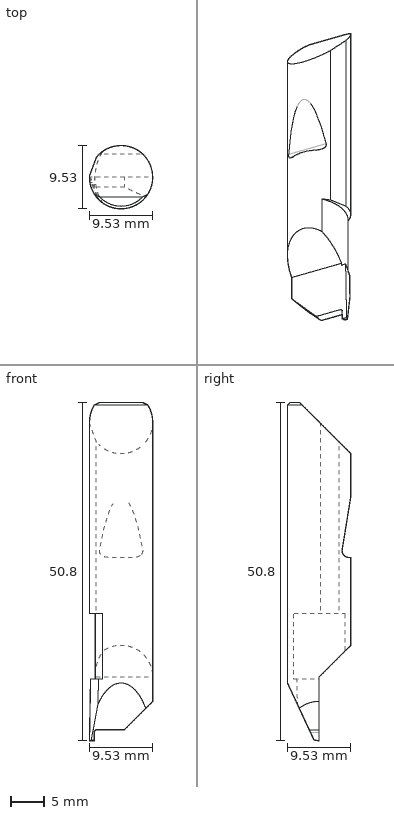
import cadquery as cq
import math

length = 50.8
diameter = 9.525
radius = diameter / 2
margin = 5.0
reach = radius + margin

end_chamfer = 0.4
end_slope_start = 43.1

flat_direction = 159.5
flat_half_angle = 18.0

notch_bottom = 27.55
notch_top = 36.6
notch_angle = 9.2
notch_radius = 1.0

relief_bottom = 9.3
relief_top = 19.1
relief_half_width = 3.87
relief_crown_x = -3.91

rake_top = 9.6
front_slope_start = 8.7
front_slope_angle = 25.0
corner_chamfer_top = 5.95
head_bottom = 1.68
tip_width = 0.75
tip_fillet = 0.4
side_clearance = 20.0
back_taper = 1.0
tip_clearance = 10.0


def tan_deg(angle):
    return math.tan(math.radians(angle))


def across_x(outline):
    """Prism of a closed (Y, Z) outline running through the whole part along X."""
    return cq.Workplane("YZ").polyline(outline).close().extrude(reach, both=True)


def make_shank():
    return cq.Workplane("XY").circle(radius).extrude(length).faces(">Z").chamfer(end_chamfer)


def end_slope():
    rise = reach + radius
    return across_x([
        (reach, end_slope_start - margin),
        (reach, end_slope_start + rise),
        (radius - rise, end_slope_start + rise),
    ])


def orientation_flat():
    distance = radius * math.cos(math.radians(flat_half_angle))
    return (
        cq.Workplane("XY")
        .box(margin, 2 * reach, length, centered=(False, True, False))
        .translate((distance, 0, 0))
        .rotate((0, 0, 0), (0, 0, 1), flat_direction)
    )


def clamping_notch():
    slope = tan_deg(notch_angle)
    outline = [
        (reach, notch_bottom),
        (radius - (notch_top - notch_bottom) * slope, notch_bottom),
        (radius + margin * slope, notch_top + margin),
        (reach, notch_top + margin),
    ]
    return across_x(outline).edges("|X").edges("<Y").fillet(notch_radius)


def side_relief():
    edge_x = -math.sqrt(radius ** 2 - relief_half_width ** 2)
    return (
        cq.Workplane("XY")
        .workplane(offset=relief_bottom)
        .moveTo(edge_x, -relief_half_width)
        .threePointArc((relief_crown_x, 0), (edge_x, relief_half_width))
        .lineTo(edge_x, reach)
        .lineTo(-reach, reach)
        .lineTo(-reach, -reach)
        .lineTo(edge_x, -reach)
        .close()
        .extrude(relief_top - relief_bottom)
    )


def rake_cut():
    return across_x([
        (0, -margin),
        (0, rake_top),
        (reach, rake_top + reach),
        (reach, -margin),
    ])


def front_slope():
    slope = tan_deg(front_slope_angle)
    return across_x([
        (-reach, front_slope_start + margin / slope),
        (-reach, -margin),
        (-radius + (front_slope_start + margin) * slope, -margin),
    ])


def head_bottom_cut():
    tip_x = tip_width - radius
    chamfer_x = radius - (corner_chamfer_top - head_bottom)
    outline = [
        (tip_x, -margin),
        (tip_x, head_bottom),
        (chamfer_x, head_bottom),
        (reach, corner_chamfer_top + margin),
        (reach, -margin),
    ]
    cut = cq.Workplane("XZ").polyline(outline).close().extrude(reach, both=True)
    inner_corner = cq.selectors.NearestToPointSelector((tip_x, 0, head_bottom))
    return cut.edges(inner_corner).fillet(tip_fillet)


def side_clearance_cut():
    inward = reach * tan_deg(side_clearance)

    def section(height):
        edge_x = -radius + height * tan_deg(back_taper)
        return [(edge_x, 0), (edge_x + inward, -reach), (-reach, -reach), (-reach, 0)]

    return (
        cq.Workplane("XY")
        .polyline(section(0)).close()
        .workplane(offset=relief_bottom)
        .polyline(section(relief_bottom)).close()
        .loft(ruled=True)
    )


def tip_end_cut():
    return across_x([
        (0, 0),
        (-reach, reach * tan_deg(tip_clearance)),
        (-reach, -margin),
        (0, -margin),
    ])


result = make_shank()
for cut in (
    end_slope(),
    orientation_flat(),
    clamping_notch(),
    side_relief(),
    rake_cut(),
    front_slope(),
    head_bottom_cut(),
    side_clearance_cut(),
    tip_end_cut(),
):
    result = result.cut(cut)